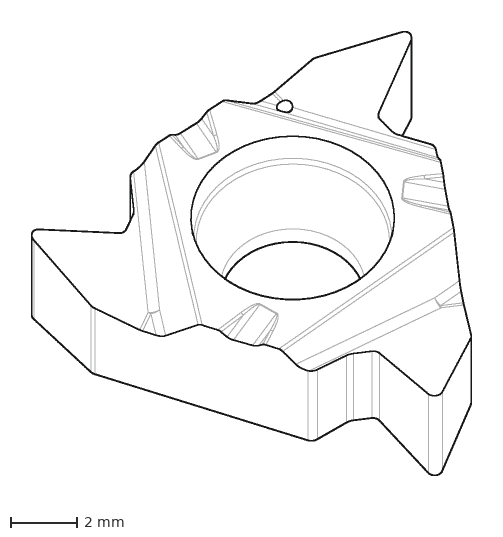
import cadquery as cq
import math


TEETH = 3
TOOTH_STEP = 360 / TEETH

THICKNESS = 4.19
INSCRIBED_DIAMETER = 9.525
FLAT = INSCRIBED_DIAMETER / 2
REACH = 12.0
EDGE_MARGIN = 0.1

TIP_CENTER = (-3.27, 6.95)
TIP_RADIUS = 0.243
FLANK_ANGLE = 28.0
SHOULDER_ROUND = 0.3
ROOT_Y = 4.76
ROOT_ROUND = 0.25
HEEL_CORNER_X = 0.22
HEEL_ANGLE = 26.6
HEEL_ROUND = 0.3
HEEL_FOOT_ROUND = 0.5

RAKE_ANGLE = 15.0
RAKE_TIP_Z = 4.05
GROOVE_FLOOR_Z = 2.95
WALL_START_Y = 1.18
WALL_TRACE_ANGLE = 32.0
WALL_SLOPE = 50.0
GROOVE_ROUND = 0.35
WALL_TOP_ROUND = 0.15

NOTCH_Y = -0.22
NOTCH_TURN = -13.8
NOTCH_DEPTH = 0.25
NOTCH_LENGTH = 1.34
NOTCH_FLOOR_WIDTH = 0.83
NOTCH_WALL_SLOPE = 41.0
NOTCH_FLOOR_ROUND = 0.3
NOTCH_RIM_ROUND = 0.15

DIMPLE_CENTER = (-4.12, 3.01, 3.0)
DIMPLE_RADIUS = 0.24

BORE_DIAMETER = 4.4
BORE_RADIUS = BORE_DIAMETER / 2
SEAT_RIM_RADIUS = 3.08
SEAT_BASE_RADIUS = 3.0
SEAT_DEPTH = 1.0
SEAT_ROUND = 0.4
FLARE_ANGLE = 35.0


def sin(degrees):
    return math.sin(math.radians(degrees))


def cos(degrees):
    return math.cos(math.radians(degrees))


def tan(degrees):
    return math.tan(math.radians(degrees))


def turned(point, degrees):
    """Turn a plan point about the bore axis."""
    x, y = point
    return (x * cos(degrees) - y * sin(degrees), x * sin(degrees) + y * cos(degrees))


def rounded_corner(before, corner, after, radius):
    """Start, middle and end of the arc that rounds a corner of an outline."""
    corner = cq.Vector(*corner)
    to_before = (cq.Vector(*before) - corner).normalized()
    to_after = (cq.Vector(*after) - corner).normalized()
    half_angle = to_before.getAngle(to_after) / 2
    setback = radius / math.tan(half_angle)
    center = corner + (to_before + to_after).normalized() * (radius / math.sin(half_angle))
    start = corner + to_before * setback
    end = corner + to_after * setback
    middle = center + (corner - center).normalized() * radius
    return [(p.x, p.y) for p in (start, middle, end)]


def tooth_arcs():
    """Arcs of one tooth's outline, running from the side face over the tip to the heel."""
    tip_x, tip_y = TIP_CENTER
    apex = (tip_x, tip_y + TIP_RADIUS / sin(FLANK_ANGLE))
    shoulder = (-FLAT, apex[1] - (apex[0] + FLAT) / tan(FLANK_ANGLE))
    root = (apex[0] + (apex[1] - ROOT_Y) * tan(FLANK_ANGLE), ROOT_Y)
    next_face_normal = 180 - TOOTH_STEP
    heel_y = (FLAT - HEEL_CORNER_X * cos(next_face_normal)) / sin(next_face_normal)
    heel = (HEEL_CORNER_X, heel_y)
    heel_foot = (HEEL_CORNER_X - (heel_y - ROOT_Y) / tan(HEEL_ANGLE), ROOT_Y)
    next_shoulder = turned(shoulder, -TOOTH_STEP)
    corners = [
        (shoulder, SHOULDER_ROUND),
        (apex, TIP_RADIUS),
        (root, ROOT_ROUND),
        (heel_foot, HEEL_FOOT_ROUND),
        (heel, HEEL_ROUND),
    ]
    points = [(-FLAT, 0)] + [corner for corner, _ in corners] + [next_shoulder]
    return [
        rounded_corner(points[i], points[i + 1], points[i + 2], radius)
        for i, (_, radius) in enumerate(corners)
    ]


def make_blank():
    """Prism with the full outline of the three teeth."""
    arcs = tooth_arcs()
    outline = cq.Workplane("XY").moveTo(*arcs[0][0])
    for index in range(TEETH):
        turn = -index * TOOTH_STEP
        for number, (start, middle, end) in enumerate(arcs):
            if index + number > 0:
                outline = outline.lineTo(*turned(start, turn))
            outline = outline.threePointArc(turned(middle, turn), turned(end, turn))
    return outline.close().extrude(THICKNESS)


def block_above(origin, level_direction, normal):
    """Large block that fills the space on the side of a plane its normal points to."""
    plane = cq.Plane(origin=origin, xDir=level_direction, normal=normal)
    return cq.Workplane(plane).rect(4 * REACH, 4 * REACH).extrude(2 * REACH)


def make_groove_cutter():
    """Space above the rake, the wall and the level floor of one groove."""
    floor = cq.Workplane("XY").box(4 * REACH, 4 * REACH, REACH, centered=(True, True, False))
    floor = floor.translate((0, 0, GROOVE_FLOOR_Z))
    tip_y = TIP_CENTER[1] + TIP_RADIUS
    rake = block_above((0, tip_y, RAKE_TIP_Z), (1, 0, 0), (0, -sin(RAKE_ANGLE), cos(RAKE_ANGLE)))
    trace = (cos(WALL_TRACE_ANGLE), sin(WALL_TRACE_ANGLE), 0)
    wall_normal = (-trace[1] * sin(WALL_SLOPE), trace[0] * sin(WALL_SLOPE), cos(WALL_SLOPE))
    wall = block_above((-FLAT, WALL_START_Y, THICKNESS), trace, wall_normal)
    cutter = floor.intersect(rake).intersect(wall)
    bounds = cq.Workplane("XY").box(2 * REACH, 2 * REACH, 2 * REACH)
    cutter = cutter.intersect(bounds)
    inner = REACH - EDGE_MARGIN
    inner_edges = cq.selectors.BoxSelector((-inner, -inner, 0), (inner, inner, inner))
    return cutter.edges(inner_edges).fillet(GROOVE_ROUND)


def make_notch_cutter():
    """Ramped trapezoid groove that runs out at the top face."""
    ramp = math.degrees(math.atan2(NOTCH_DEPTH, NOTCH_LENGTH))
    overrun = 1.0
    headroom = 2 * NOTCH_DEPTH
    half_floor = NOTCH_FLOOR_WIDTH / 2
    half_top = half_floor + headroom / tan(NOTCH_WALL_SLOPE)
    profile = [(-half_floor, 0), (half_floor, 0), (half_top, headroom), (-half_top, headroom)]
    cutter = cq.Workplane("YZ").workplane(offset=-overrun).polyline(profile).close()
    cutter = cutter.extrude(overrun + 2 * NOTCH_LENGTH)
    cutter = cutter.faces("<Z").edges("|X").fillet(NOTCH_FLOOR_ROUND)
    cutter = cutter.rotate((0, 0, 0), (0, 1, 0), -ramp)
    cutter = cutter.rotate((0, 0, 0), (0, 0, 1), NOTCH_TURN)
    return cutter.translate((-FLAT, NOTCH_Y, THICKNESS - NOTCH_DEPTH))


def make_bore_cutter():
    """Seat, rounded step, convex flare and plain bore, turned about Z."""
    seat_taper = math.degrees(math.atan2(SEAT_RIM_RADIUS - SEAT_BASE_RADIUS, SEAT_DEPTH))
    seat_z = THICKNESS - SEAT_DEPTH
    round_x = SEAT_BASE_RADIUS - SEAT_ROUND * cos(seat_taper)
    round_z = seat_z + SEAT_ROUND * sin(seat_taper)

    def on_round(angle):
        return (round_x + SEAT_ROUND * cos(angle), round_z - SEAT_ROUND * sin(angle))

    step_end = on_round(FLARE_ANGLE)
    flare_radius = (step_end[0] - BORE_RADIUS) / (1 - cos(FLARE_ANGLE))
    flare_x = BORE_RADIUS + flare_radius
    flare_z = step_end[1] - flare_radius * sin(FLARE_ANGLE)

    def on_flare(angle):
        return (flare_x - flare_radius * cos(angle), flare_z + flare_radius * sin(angle))

    profile = (
        cq.Workplane("XZ")
        .lineTo(BORE_RADIUS, 0)
        .lineTo(*on_flare(0))
        .threePointArc(on_flare(FLARE_ANGLE / 2), step_end)
        .threePointArc(on_round((seat_taper + FLARE_ANGLE) / 2), on_round(seat_taper))
        .lineTo(SEAT_RIM_RADIUS, THICKNESS)
        .lineTo(0, THICKNESS)
        .close()
    )
    return profile.revolve(360, (0, 0), (0, 1))


def wall_top_edges(body):
    """Three longest straight edges of the top face."""
    straight = body.faces(">Z").edges("%LINE").vals()
    longest = sorted(straight, key=lambda edge: -edge.Length())[:TEETH]
    return body.newObject(longest)


def notch_rim_edges(body):
    """Straight edges of the top face that run along the notches, inside the side faces."""

    def inside(edge):
        x, y, _ = edge.Center().toTuple()
        return all(-turned((x, y), i * TOOTH_STEP)[0] < FLAT - EDGE_MARGIN for i in range(TEETH))

    straight = body.faces(">Z").edges("%LINE").vals()
    rims = [edge for edge in straight if inside(edge) and edge.Length() < 2 * NOTCH_LENGTH]
    return body.newObject(rims)


def make_insert():
    body = make_blank()
    groove = make_groove_cutter()
    notch = make_notch_cutter()
    for index in range(TEETH):
        body = body.cut(groove.rotate((0, 0, 0), (0, 0, 1), index * TOOTH_STEP))
    body = wall_top_edges(body).fillet(WALL_TOP_ROUND)
    for index in range(TEETH):
        body = body.cut(notch.rotate((0, 0, 0), (0, 0, 1), index * TOOTH_STEP))
    body = notch_rim_edges(body).fillet(NOTCH_RIM_ROUND)
    body = body.cut(cq.Workplane("XY").sphere(DIMPLE_RADIUS).translate(DIMPLE_CENTER))
    return body.cut(make_bore_cutter())


result = make_insert()